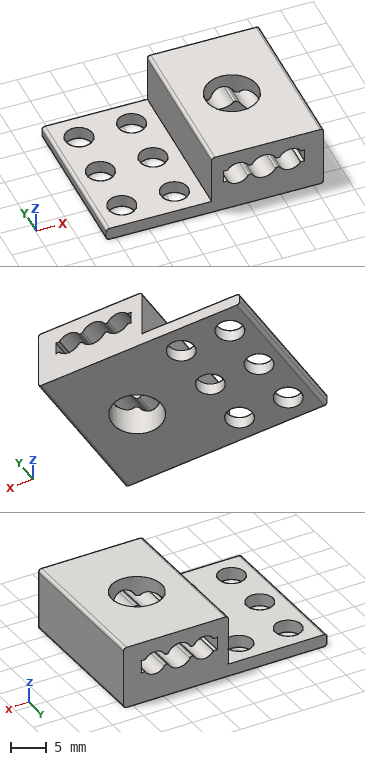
import cadquery as cq

length = 33.0
width = 24.0
height = 10.0
plate_thickness = 2.0
block_start = 16.0
edge_radius = 0.5

grid_pitch = 8.0
grid_columns = 2
grid_rows = 3
grid_hole_diameter = 4.2
grid_first_x = grid_pitch / 2

bore_diameter = 8.0
bore_x = 3 * grid_pitch

channel_z = 6.0
lobe_pitch = bore_diameter / 2
middle_lobe_diameter = 4.03
side_lobe_diameter = 3.7
channel_length = 12.3
end_height = 2.0
neck_height = 1.68
neck_radius = 0.33


def make_body():
    """Stepped section extruded along Y, with rounded outer edges."""
    section = [
        (0, 0),
        (length, 0),
        (length, height),
        (block_start, height),
        (block_start, plate_thickness),
        (0, plate_thickness),
    ]
    body = cq.Workplane("XZ").polyline(section).close().extrude(-width)
    inner_corner = cq.selectors.BoxSelector(
        (block_start - 0.33, -0.33, plate_thickness - 0.33),
        (block_start + 0.33, width + 0.33, plate_thickness + 0.33),
    )
    rounded_edges = cq.selectors.StringSyntaxSelector("|Y") - inner_corner
    return body.edges(rounded_edges).fillet(edge_radius)


def make_grid_holes():
    """Cutters for the plate holes, centered on the body along Y."""
    centers = [
        (grid_first_x + column * grid_pitch, width / 2 + (row - (grid_rows - 1) / 2) * grid_pitch)
        for column in range(grid_columns)
        for row in range(grid_rows)
    ]
    return cq.Workplane("XY").pushPoints(centers).circle(grid_hole_diameter / 2).extrude(plate_thickness)


def make_bore():
    """Cutter for the vertical through bore."""
    return cq.Workplane("XY").center(bore_x, width / 2).circle(bore_diameter / 2).extrude(height)


def make_channel():
    """Cutter for the channel: three lobes joined by rounded necks, with taller square ends."""
    section = cq.Workplane("XZ", origin=(bore_x, 0, channel_z))
    channel = section.circle(middle_lobe_diameter / 2).extrude(-width)
    channel = channel.union(section.rect(2 * lobe_pitch, neck_height).extrude(-width))
    end_length = channel_length / 2 - lobe_pitch
    for side in (-1, 1):
        lobe_x = side * lobe_pitch
        end_x = side * (lobe_pitch + end_length / 2)
        channel = channel.union(section.center(lobe_x, 0).circle(side_lobe_diameter / 2).extrude(-width))
        channel = channel.union(section.center(end_x, 0).rect(end_length, end_height).extrude(-width))
    for side in (-1, 1):
        neck_x = bore_x + side * lobe_pitch / 2
        neck_box = cq.selectors.BoxSelector(
            (neck_x - neck_height / 2, -0.33, 0),
            (neck_x + neck_height / 2, width + 0.33, height),
        )
        neck_edges = cq.selectors.StringSyntaxSelector("|Y") & neck_box
        channel = channel.edges(neck_edges).fillet(neck_radius)
    return channel


result = make_body().cut(make_grid_holes()).cut(make_bore()).cut(make_channel())